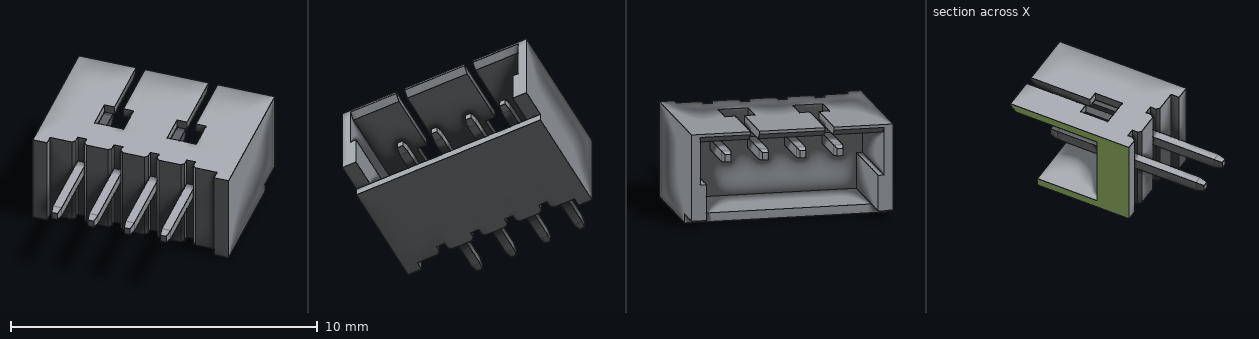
import cadquery as cq


pin_count = 4
pin_pitch = 1.25
pin_width = 0.3
pin_height = 0.35
pin_center_z = 2.05
pin_tip_width = 0.2
pin_tip_height = 0.25
pin_tip_length = 0.28
pin_solder_end_y = -6.9
pin_mating_end_y = -1.2

housing_end_margin = 1.5
pin_row_length = (pin_count - 1) * pin_pitch
housing_width = pin_row_length + 2 * housing_end_margin
housing_height = 3.2
rear_face_y = -4.4
foot_width = 0.5
foot_length = 0.3

wall = 0.3
ledge_width = 0.2
ledge_z = 1.5
cavity_width = housing_width - 2 * wall
roof_z = housing_height - wall
cavity_depth = 3.2
lead_in = 0.2
floor_setback = 1.0

latch_x_positions = (-pin_pitch, pin_pitch)
slot_width = 0.3
window_size = 1.0
window_start_y = -2.2

groove_width = pin_width
groove_depth = 0.3
groove_chamfer_width = 0.1
groove_chamfer_depth = 0.1


def pin_x_positions():
    first_x = -pin_row_length / 2
    return [first_x + index * pin_pitch for index in range(pin_count)]


def box(width, y_start, y_end, z_start, z_end, center_x=0):
    """Box centred on center_x that spans the given Y and Z ranges."""
    return (
        cq.Workplane("XY")
        .box(width, y_end - y_start, z_end - z_start, centered=(True, False, False))
        .translate((center_x, y_start, z_start))
    )


def make_housing_block():
    block = box(housing_width, rear_face_y, 0, 0, housing_height)
    foot_offset = (housing_width - foot_width) / 2
    for foot_x in (-foot_offset, foot_offset):
        foot = box(foot_width, rear_face_y - foot_length, rear_face_y, 0, housing_height, foot_x)
        block = block.union(foot)
    return block


def make_cavity():
    """Cavity open at the mating face, with a roof lead-in and a ledge along each side wall."""
    profile = [
        (-cavity_depth, wall),
        (0, wall),
        (0, roof_z + lead_in),
        (-lead_in, roof_z),
        (-cavity_depth, roof_z),
    ]
    cavity = cq.Workplane("YZ").polyline(profile).close().extrude(cavity_width / 2, both=True)
    ledge_offset = (cavity_width - ledge_width) / 2
    for ledge_x in (-ledge_offset, ledge_offset):
        cavity = cavity.cut(box(ledge_width, -cavity_depth, 0, wall, ledge_z, ledge_x))
    return cavity


def make_floor_setback():
    return box(housing_width, -floor_setback, 0, 0, wall)


def make_latch_opening(center_x):
    slot = box(slot_width, window_start_y, 0, roof_z, housing_height, center_x)
    window_end_y = window_start_y - window_size
    window = box(window_size, window_end_y, window_start_y, roof_z, housing_height, center_x)
    return slot.union(window)


def make_groove(center_x):
    """Full-height groove in the rear face with chamfered mouth edges."""
    half_width = groove_width / 2
    half_mouth = half_width + groove_chamfer_width
    bottom_y = rear_face_y + groove_depth
    chamfer_y = rear_face_y + groove_chamfer_depth
    profile = [
        (center_x - half_mouth, rear_face_y),
        (center_x - half_width, chamfer_y),
        (center_x - half_width, bottom_y),
        (center_x + half_width, bottom_y),
        (center_x + half_width, chamfer_y),
        (center_x + half_mouth, rear_face_y),
    ]
    return cq.Workplane("XY").polyline(profile).close().extrude(housing_height)


def make_pin_tip(center_x, base_y, direction):
    """Tapered pin end that starts at base_y and points along +Y (direction 1) or -Y (direction -1)."""
    base_plane = cq.Plane(
        origin=(center_x, base_y, pin_center_z),
        xDir=(1, 0, 0),
        normal=(0, direction, 0),
    )
    return (
        cq.Workplane(base_plane)
        .rect(pin_width, pin_height)
        .workplane(offset=pin_tip_length)
        .rect(pin_tip_width, pin_tip_height)
        .loft(ruled=True)
    )


def make_pin(center_x):
    """Straight pin tapered at its solder end and at its mating end."""
    shank_start_y = pin_solder_end_y + pin_tip_length
    shank_end_y = pin_mating_end_y - pin_tip_length
    bottom_z = pin_center_z - pin_height / 2
    shank = box(pin_width, shank_start_y, shank_end_y, bottom_z, bottom_z + pin_height, center_x)
    solder_tip = make_pin_tip(center_x, shank_start_y, -1)
    mating_tip = make_pin_tip(center_x, shank_end_y, 1)
    return shank.union(solder_tip).union(mating_tip)


result = make_housing_block().cut(make_cavity()).cut(make_floor_setback())

for latch_x in latch_x_positions:
    result = result.cut(make_latch_opening(latch_x))

for pin_x in pin_x_positions():
    result = result.cut(make_groove(pin_x))

for pin_x in pin_x_positions():
    result = result.union(make_pin(pin_x))